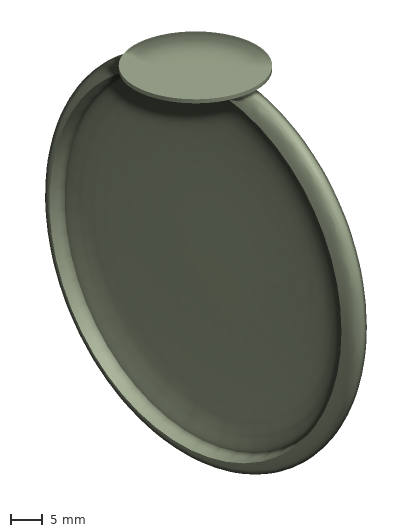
import cadquery as cq

rim_radius = 35.0
rim_depth = 2.25
mouth_radius = 32.5
back_depth = 7.9
wall = 2.25
lip_radius = 31.65
lip_depth = 2.5

plate_diameter = 24.0
plate_thickness = 0.7

floor_depth = back_depth - wall

mouth_edge = (mouth_radius, 0)
lip_edge = (lip_radius, lip_depth)
outer_curve = [
    (0, back_depth),
    (24.15, 7.15),
    (31.6, 5.45),
    (34.1, 4.0),
    (rim_radius, rim_depth),
    (34.1, 0.7),
    mouth_edge,
]
inner_curve = [
    lip_edge,
    (24.15, 4.8),
    (0, floor_depth),
]

outward = (1, 0)
inward = (-1, 0)
lip_slope = (-1, 0.6)
mouth_slope = (-1, -0.5)


def make_dish():
    """Revolve the curved wall, with a conical lip from mouth to cavity."""
    section = (
        cq.Workplane("XY")
        .moveTo(*outer_curve[0])
        .spline(outer_curve[1:], tangents=[outward, mouth_slope], includeCurrent=True)
        .lineTo(*lip_edge)
        .spline(inner_curve[1:], tangents=[lip_slope, inward], includeCurrent=True)
        .close()
    )
    return section.revolve(360, (0, 0, 0), (0, 1, 0))


def make_plate():
    """Horizontal disc whose top face is level with the top of the rim."""
    return (
        cq.Workplane("XY", origin=(0, 0, rim_radius - plate_thickness))
        .circle(plate_diameter / 2)
        .extrude(plate_thickness)
    )


result = make_dish().union(make_plate())